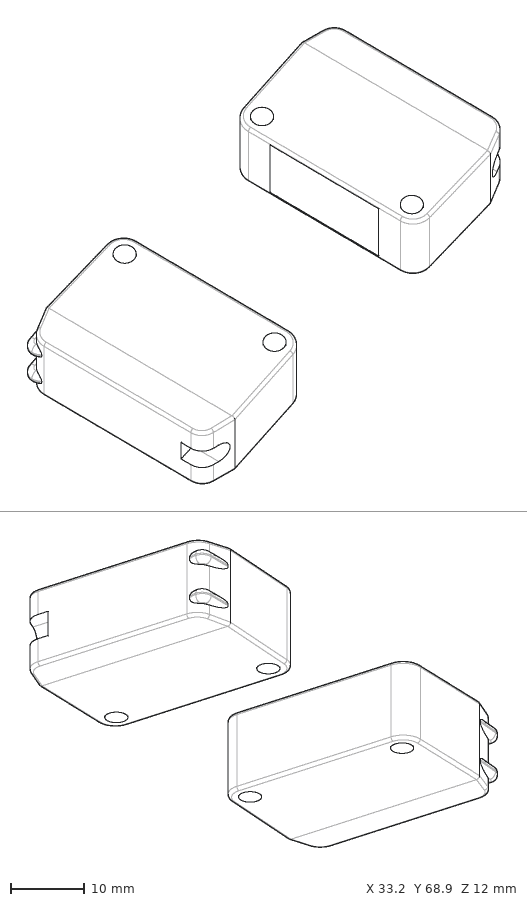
import cadquery as cq
import math

TOTAL_LENGTH = 68.9
UNIT_SHIFT = 1.1

HEIGHT = 12.0
KNEE_WIDTH = 32.1
UNIT_DEPTH = 21.85
KNEE_SETBACK = 5.3
BACK_DRAFT_ANGLE = 1.0
FRONT_INSET = 1.65
FRONT_DROP = 0.15
BACK_CORNER_RADIUS = 2.9
FRONT_CORNER_RADIUS = 2.6
EDGE_RADIUS = 0.5

HOLE_DIAMETER = 3.2
HOLE_SPACING = 25.5

SLOT_HEIGHT = 3.7
SLOT_DEPTH = 4.55
SLOT_START = 10.8

RIB_PROTRUSION = 0.4
RIB_HEIGHT = 2.0
RIB_EDGE_RADIUS = 0.9
RIB_SPACING = 6.0
RIB_SIDE_INSET = 0.3
RIB_TIP_INSET = 0.1
RIB_CORNER_RADIUS = 1.5
RIB_TAIL_RADIUS = 2.3

PANEL_WIDTH = 18.45
PANEL_HEIGHT = 10.75
PANEL_THICKNESS = 1.0

FRONT_Y = RIB_PROTRUSION - TOTAL_LENGTH / 2
BACK_Y = FRONT_Y + UNIT_DEPTH
KNEE_Y = FRONT_Y + KNEE_SETBACK
HOLE_Y = BACK_Y - BACK_CORNER_RADIUS
BACK_DRAFT = math.tan(math.radians(BACK_DRAFT_ANGLE))
KNEE_X = KNEE_WIDTH / 2
FRONT_X = KNEE_X - FRONT_INSET
BACK_X = KNEE_X - (BACK_Y - KNEE_Y) * BACK_DRAFT


def tapered_block(end_y, end_width, end_height, far_y, far_width, far_height, corner_radius):
    """Block tapering from its far face to its end face, with rounded end corners and rims."""
    plan = (
        cq.Workplane("XY")
        .polyline([
            (-end_width / 2, end_y), (end_width / 2, end_y),
            (far_width / 2, far_y), (-far_width / 2, far_y),
        ])
        .close()
        .extrude(far_height, both=True)
    )
    side = (
        cq.Workplane("YZ")
        .polyline([
            (end_y, -end_height / 2), (far_y, -far_height / 2),
            (far_y, far_height / 2), (end_y, end_height / 2),
        ])
        .close()
        .extrude(far_width, both=True)
    )
    end_side = "<Y" if end_y < far_y else ">Y"
    far_side = ">Y" if end_y < far_y else "<Y"
    block = plan.edges("|Z").edges(end_side).fillet(corner_radius).intersect(side)
    upright_or_far = f"|Z or ({far_side})"
    return block.edges(f"not ({upright_or_far})").fillet(EDGE_RADIUS)


def make_blank():
    """Housing without its holes, slot and recess: two tapered blocks that meet at the knee."""
    front_taper = UNIT_DEPTH / KNEE_SETBACK
    front_block = tapered_block(
        FRONT_Y, 2 * FRONT_X, HEIGHT - 2 * FRONT_DROP,
        BACK_Y, 2 * (FRONT_X + FRONT_INSET * front_taper), HEIGHT + 2 * FRONT_DROP * (front_taper - 1),
        FRONT_CORNER_RADIUS,
    )
    back_block = tapered_block(
        BACK_Y, 2 * BACK_X, HEIGHT,
        FRONT_Y, 2 * (BACK_X + UNIT_DEPTH * BACK_DRAFT), HEIGHT,
        BACK_CORNER_RADIUS,
    )
    return front_block.intersect(back_block)


def make_slot():
    """Cutter for the slot along X: flat walls ending in a half-round bottom."""
    radius = SLOT_HEIGHT / 2
    bottom_y = FRONT_Y + SLOT_DEPTH
    return (
        cq.Workplane("YZ", origin=(SLOT_START, 0, 0))
        .moveTo(FRONT_Y, -radius)
        .lineTo(bottom_y - radius, -radius)
        .threePointArc((bottom_y, 0), (bottom_y - radius, radius))
        .lineTo(FRONT_Y, radius)
        .close()
        .extrude(KNEE_WIDTH / 2)
    )


def make_housing(blank):
    """Blank with its two mounting holes and its cable slot."""
    holes = (
        cq.Workplane("XY")
        .pushPoints([(-HOLE_SPACING / 2, HOLE_Y), (HOLE_SPACING / 2, HOLE_Y)])
        .circle(HOLE_DIAMETER / 2)
        .extrude(HEIGHT, both=True)
    )
    return blank.cut(holes).cut(make_slot())


def make_rib(blank, z):
    """Rounded rib wrapped around the front left corner, lying on the housing wall."""
    nose_y = FRONT_Y - RIB_PROTRUSION
    side_x = RIB_SIDE_INSET - KNEE_X
    nose_x = side_x + RIB_CORNER_RADIUS
    corner_y = nose_y + RIB_CORNER_RADIUS
    diagonal = RIB_CORNER_RADIUS * math.sqrt(0.5)
    tail_end = (nose_x + RIB_TAIL_RADIUS, nose_y + RIB_TAIL_RADIUS)
    tail_diagonal = RIB_TAIL_RADIUS * math.sqrt(0.5)
    rib = (
        cq.Workplane("XY", origin=(0, 0, z))
        .moveTo(RIB_TIP_INSET - KNEE_X, KNEE_Y)
        .lineTo(side_x, corner_y)
        .threePointArc((nose_x - diagonal, corner_y - diagonal), (nose_x, nose_y))
        .threePointArc(
            (nose_x + tail_diagonal, nose_y + RIB_TAIL_RADIUS - tail_diagonal), tail_end)
        .lineTo(tail_end[0], KNEE_Y)
        .close()
        .extrude(RIB_HEIGHT / 2, both=True)
        .edges("#Z")
        .fillet(RIB_EDGE_RADIUS)
    )
    return rib.cut(blank)


def make_panel():
    """Flat panel whose outer face is flush with the back face."""
    return cq.Workplane("XY").box(PANEL_WIDTH, PANEL_THICKNESS, PANEL_HEIGHT).translate(
        (0, BACK_Y - PANEL_THICKNESS / 2, 0))


def place_first(body):
    return body.translate((-UNIT_SHIFT / 2, 0, 0))


def place_second(body):
    return body.rotate((0, 0, 0), (1, 0, 0), 180).translate((UNIT_SHIFT / 2, 0, 0))


blank = make_blank()
housing = make_housing(blank)
ribs = [make_rib(blank, z) for z in (-RIB_SPACING / 2, RIB_SPACING / 2)]
panel = make_panel()

first_housing = place_first(housing)
second_housing = place_second(housing.cut(panel))
second_panel = place_second(panel)
all_ribs = [place(rib) for place in (place_first, place_second) for rib in ribs]

result = cq.Compound.makeCompound([
    first_housing.val(),
    second_housing.val(),
    second_panel.val(),
    *[rib.val() for rib in all_ribs],
])